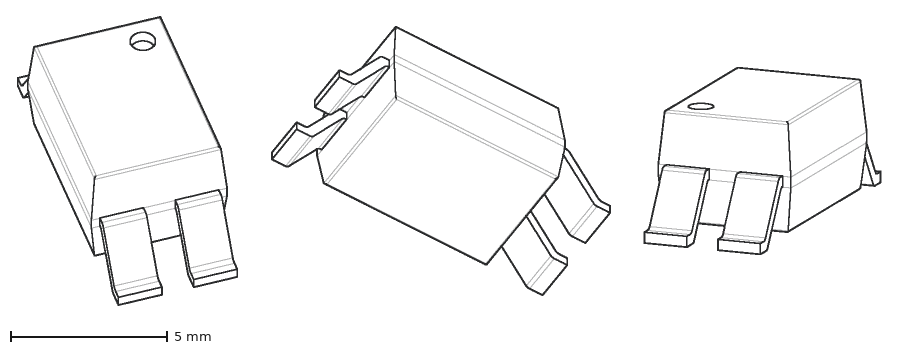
import cadquery as cq
import math

overall_length = 10.3
overall_height = 3.9

housing_length = 6.5
housing_width = 4.58
housing_bottom = 0.25
draft_inset = 0.16
rim_radius = 0.08

mark_diameter = 0.81
mark_depth = 0.4
mark_x = -2.19
mark_y = 1.24

lead_thickness = 0.36
lead_width = 1.47
lead_pitch = 2.54
shoulder_top = 2.15
lead_slope = 56.2
foot_top_length = 0.395
upper_bend_radius = 0.2
lower_bend_radius = 0.15

band_top = shoulder_top
band_bottom = shoulder_top - lead_thickness


def tapered_block(start_height, height):
    """Block on the band outline whose sides lean in by the draft inset; negative height goes down."""
    draft_angle = math.degrees(math.atan(draft_inset / abs(height)))
    return (
        cq.Workplane("XY", origin=(0, 0, start_height))
        .rect(housing_length, housing_width)
        .extrude(height, taper=draft_angle)
    )


def make_housing():
    upper = tapered_block(band_top, overall_height - band_top)
    upper = upper.faces(">Z").edges().fillet(rim_radius)
    lower = tapered_block(band_bottom, housing_bottom - band_bottom)
    lower = lower.faces("<Z").edges().fillet(rim_radius)
    band = (
        cq.Workplane("XY", origin=(0, 0, band_bottom))
        .rect(housing_length, housing_width)
        .extrude(lead_thickness)
    )
    mark = (
        cq.Workplane("XY", origin=(mark_x, mark_y, overall_height))
        .circle(mark_diameter / 2)
        .extrude(-mark_depth)
    )
    return upper.union(band).union(lower).cut(mark)


def make_lead(center_y):
    """Lead on the -X side, standing on Z = 0 and centred on the given Y."""
    slope = math.radians(lead_slope)
    tip_x = -overall_length / 2
    root_x = -housing_length / 2
    slope_run = (shoulder_top - lead_thickness) / math.tan(slope)

    mitre_shift = lead_thickness * math.tan(slope / 2)
    ankle_top_x = tip_x + foot_top_length
    ankle_bottom_x = ankle_top_x + mitre_shift
    knee_top_x = ankle_top_x + slope_run
    knee_bottom_x = ankle_bottom_x + slope_run

    lead = (
        cq.Workplane("XZ", origin=(0, center_y, 0))
        .moveTo(tip_x, 0)
        .lineTo(ankle_bottom_x, 0)
        .lineTo(knee_bottom_x, band_bottom)
        .lineTo(root_x, band_bottom)
        .lineTo(root_x, shoulder_top)
        .lineTo(knee_top_x, shoulder_top)
        .lineTo(ankle_top_x, lead_thickness)
        .lineTo(tip_x, lead_thickness)
        .close()
        .extrude(lead_width / 2, both=True)
    )

    def bend_edge(x, z):
        return cq.selectors.NearestToPointSelector((x, center_y, z))

    for x, z in ((ankle_top_x, lead_thickness), (knee_top_x, shoulder_top)):
        lead = lead.edges("|Y").edges(bend_edge(x, z)).fillet(upper_bend_radius)
    for x, z in ((ankle_bottom_x, 0), (knee_bottom_x, band_bottom)):
        lead = lead.edges("|Y").edges(bend_edge(x, z)).fillet(lower_bend_radius)
    return lead


housing = make_housing()

leads = []
for center_y in (-lead_pitch / 2, lead_pitch / 2):
    left_lead = make_lead(center_y)
    leads.append(left_lead)
    leads.append(left_lead.mirror("YZ"))

result = cq.Compound.makeCompound([housing.val()] + [lead.val() for lead in leads])